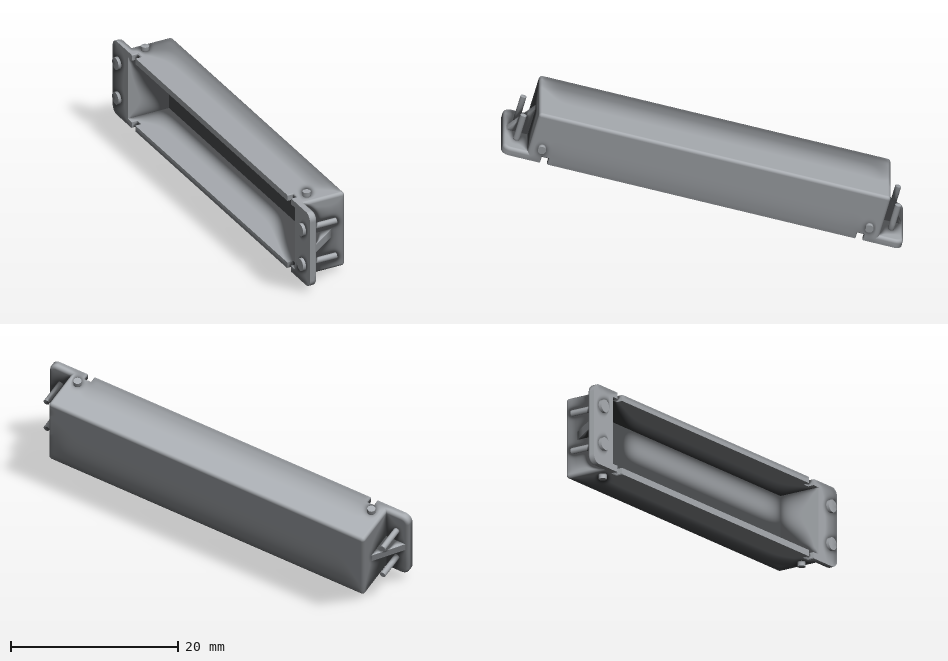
import cadquery as cq

LENGTH = 49.6
HEIGHT = 10.0
DEPTH = 6.4
EDGE_RADIUS = 0.4

FLANGE_REACH = 3.05
BOX_LENGTH = LENGTH - 2 * FLANGE_REACH
WALL = 0.8

FLANGE_THICKNESS = 1.0
FLANGE_CORNER_RADIUS = 1.0

GUSSET_REACH = 2.65
GUSSET_DEPTH = 3.6
GUSSET_WIDTH = 1.05

NOTCH_WIDTH = 0.9
NOTCH_DEPTH = 0.8
NOTCH_CHAMFER = 0.1
NOTCH_X = LENGTH / 2 - 5.25

PEG_DIAMETER = 1.0
PEG_HEIGHT = 0.6
PEG_X = LENGTH / 2 - 4.5
PEG_Y = 2.0

PIN_DIAMETER = 0.75
SHANK_END_Y = 4.35
HEAD_DIAMETER = 1.6
HEAD_HEIGHT = 0.4
HEAD_GAP = 0.1
PIN_X = LENGTH / 2 - 1.6
PIN_Z = 2.4

SIDES = (-1, 1)


def block(length, depth, height):
    """Block centred on X and Z that runs from Y = 0 toward +Y."""
    return cq.Workplane("XY").box(length, depth, height, centered=(True, False, True))


def cylinder_along_y(diameter, x, z, start, end):
    """Round bar along Y between two Y positions."""
    return (
        cq.Workplane("XZ", origin=(x, start, z))
        .circle(diameter / 2)
        .extrude(start - end)
    )


def flange_plate():
    """Plate for both flanges, rounded at its corners and along its back edge."""
    plate = block(LENGTH, FLANGE_THICKNESS, HEIGHT)
    plate = plate.edges("|Y").fillet(FLANGE_CORNER_RADIUS)
    return plate.faces(">Y").edges().fillet(EDGE_RADIUS)


def box_shell():
    """Solid outside of the box, rounded at its ends and back."""
    shell = block(BOX_LENGTH, DEPTH, HEIGHT)
    return shell.edges("|Y or >Y").fillet(EDGE_RADIUS)


def box_cavity():
    """Space inside the box, open at the front."""
    return block(BOX_LENGTH - 2 * WALL, DEPTH - WALL, HEIGHT - 2 * WALL)


def gusset(side):
    """Triangular rib between a flange and the box end on one side."""
    root = side * BOX_LENGTH / 2
    tip = root + side * GUSSET_REACH
    return (
        cq.Workplane("XY")
        .polyline([
            (root, FLANGE_THICKNESS),
            (tip, FLANGE_THICKNESS),
            (root, FLANGE_THICKNESS + GUSSET_DEPTH),
        ])
        .close()
        .extrude(GUSSET_WIDTH / 2, both=True)
    )


def notch(side):
    """Cut across both long walls at one end, widened by a chamfer at each outer face."""
    cutter = block(NOTCH_WIDTH, NOTCH_DEPTH, HEIGHT)
    for face in SIDES:
        flare = (
            cq.Workplane("XY", origin=(0, 0, face * HEIGHT / 2))
            .rect(NOTCH_WIDTH + 2 * NOTCH_CHAMFER, 2 * (NOTCH_DEPTH + NOTCH_CHAMFER))
            .workplane(offset=-face * NOTCH_CHAMFER)
            .rect(NOTCH_WIDTH, 2 * NOTCH_DEPTH)
            .loft(ruled=True)
        )
        cutter = cutter.union(flare)
    return cutter.translate((side * NOTCH_X, 0, 0))


def pegs(side):
    """Bar through the height of the box; its ends form the top and bottom pegs at one end."""
    return (
        cq.Workplane("XY", origin=(side * PEG_X, PEG_Y, 0))
        .circle(PEG_DIAMETER / 2)
        .extrude(HEIGHT / 2 + PEG_HEIGHT, both=True)
    )


def pin(x, z):
    """Headed pin through a flange, its head just clear of the flange front."""
    shank = cylinder_along_y(PIN_DIAMETER, x, z, -HEAD_GAP, SHANK_END_Y)
    head = cylinder_along_y(HEAD_DIAMETER, x, z, -HEAD_GAP - HEAD_HEIGHT, -HEAD_GAP)
    return shank.union(head)


def make_housing(pin_places):
    """Box with flanges, gussets and pegs, cut by its cavity, notches and pin holes."""
    housing = box_shell().union(flange_plate())
    for side in SIDES:
        housing = housing.union(gusset(side)).union(pegs(side))
    housing = housing.cut(box_cavity())
    for side in SIDES:
        housing = housing.cut(notch(side))
    for x, z in pin_places:
        housing = housing.cut(cylinder_along_y(PIN_DIAMETER, x, z, 0, SHANK_END_Y))
    return housing


pin_places = [(x_side * PIN_X, z_side * PIN_Z) for x_side in SIDES for z_side in SIDES]
housing = make_housing(pin_places)
pins = [pin(x, z).val() for x, z in pin_places]

result = cq.Compound.makeCompound([housing.val(), *pins])